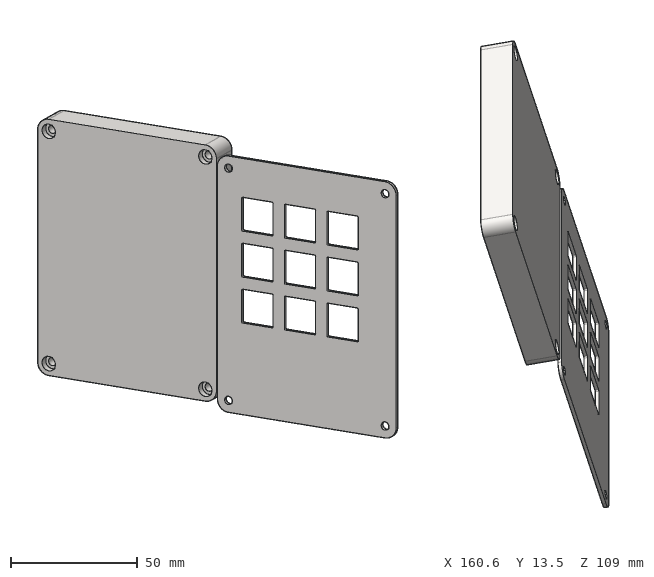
import cadquery as cq

panel_width = 80.0
panel_height = 106.1
corner_radius = 5.0
screw_inset = 5.0

body_gap = 0.6
case_raise = 2.9
case_setback = 0.5
case_x = -(panel_width + body_gap) / 2
plate_x = (panel_width + body_gap) / 2

total_depth = 13.5
case_depth = total_depth - case_setback
plate_thickness = 1.5

screw_diameter = 3.4
head_diameter = 6.0
head_depth = 3.0

window_size = 14.0
window_corner_radius = 0.5
windows_per_side = 3
grid_span = 52.0
window_pitch = (grid_span - window_size) / (windows_per_side - 1)
window_shift_x = -3.0
window_shift_z = 11.0


def front_plane(x, y, z):
    """Plane facing -Y, with local axes along X and Z."""
    return cq.Workplane("XZ", origin=(x, y, z))


def rounded_panel(x, y, z, depth):
    """Panel with rounded corners whose front face is at y, extending toward +Y."""
    return (
        front_plane(x, y, z)
        .rect(panel_width, panel_height)
        .extrude(-depth)
        .edges("|Y")
        .fillet(corner_radius)
    )


def corner_cylinders(x, y, z, diameter, depth):
    """Four cutting cylinders at the screw positions, running from y toward +Y."""
    return (
        front_plane(x, y, z)
        .rect(panel_width - 2 * screw_inset, panel_height - 2 * screw_inset, forConstruction=True)
        .vertices()
        .circle(diameter / 2)
        .extrude(-depth)
    )


def make_case():
    """Thick block with counterbored screw holes opening on its front face."""
    place = (case_x, case_setback, case_raise)
    block = rounded_panel(*place, case_depth)
    block = block.cut(corner_cylinders(*place, screw_diameter, case_depth))
    return block.cut(corner_cylinders(*place, head_diameter, head_depth))


def make_switch_plate():
    """Thin plate with screw holes and a grid of square switch windows."""
    place = (plate_x, 0, 0)
    plate = rounded_panel(*place, plate_thickness)
    plate = plate.cut(corner_cylinders(*place, screw_diameter, plate_thickness))
    windows = (
        front_plane(plate_x + window_shift_x, 0, window_shift_z)
        .rarray(window_pitch, window_pitch, windows_per_side, windows_per_side)
        .rect(window_size, window_size)
        .extrude(-plate_thickness)
        .edges("|Y")
        .fillet(window_corner_radius)
    )
    return plate.cut(windows)


case = make_case()
switch_plate = make_switch_plate()

result = cq.Compound.makeCompound([case.val(), switch_plate.val()])